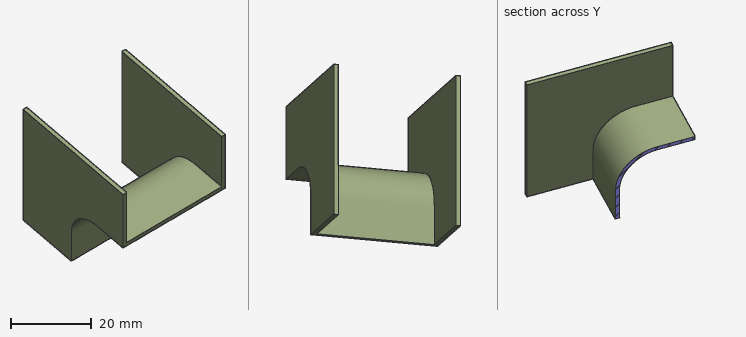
import cadquery as cq

leg_length = 38.7
total_width = 32.9
wall = 1.2
inner_radius = 10.0
straight_length = 10.0

leg_width = leg_length - straight_length - inner_radius
bend_center = leg_width + inner_radius


def elbow_outline(corner_radius):
    """L-shaped outline in XZ whose inside corner is an arc about the bend center."""
    edge = bend_center - corner_radius
    top = leg_length
    return (
        cq.Workplane("XZ")
        .moveTo(0, 0)
        .lineTo(edge, 0)
        .lineTo(edge, top - bend_center)
        .radiusArc((bend_center, top - edge), corner_radius)
        .lineTo(leg_length, top - edge)
        .lineTo(leg_length, top)
        .lineTo(0, top)
        .close()
    )


def elbow_channel():
    """Two parallel side plates joined by a curved web along the inside corner."""
    body = elbow_outline(inner_radius).extrude(total_width / 2, both=True)
    channel = elbow_outline(inner_radius + wall).extrude(total_width / 2 - wall, both=True)
    return body.cut(channel)


result = elbow_channel()